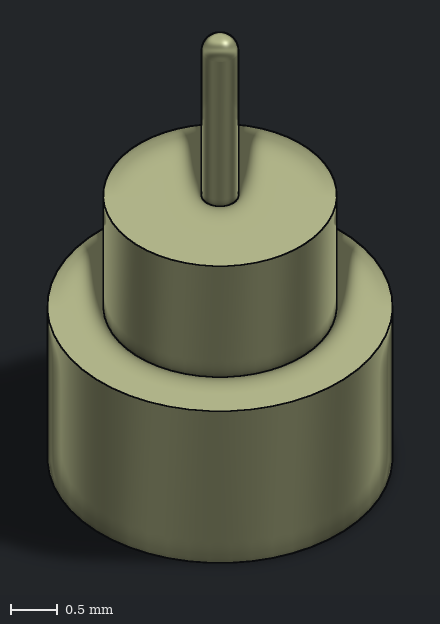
import cadquery as cq
import math

total_height = 5.7
base_radius = 3.7 / 2
base_height = 2.05
collar_radius = 2.5 / 2
collar_height = 1.5
insert_radius = 1.95 / 2
pin_radius = 0.2

collar_top = base_height + collar_height
dome_start = total_height - pin_radius
dome_mid_offset = pin_radius * math.sqrt(0.5)

half_section = (
    cq.Workplane("XZ")
    .moveTo(0, 0)
    .lineTo(-base_radius, 0)
    .lineTo(-base_radius, base_height)
    .lineTo(-collar_radius, base_height)
    .lineTo(-collar_radius, collar_top)
    .lineTo(-insert_radius, collar_top)
    .lineTo(-pin_radius, collar_top)
    .lineTo(-pin_radius, dome_start)
    .threePointArc((-dome_mid_offset, dome_start + dome_mid_offset), (0, total_height))
    .close()
)

result = half_section.revolve(360, (0, 0, 0), (0, 1, 0), clean=False)